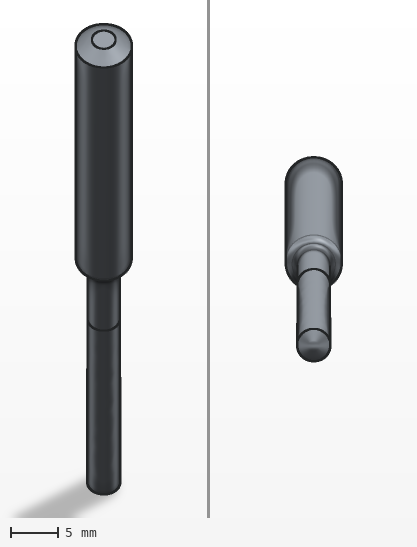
import cadquery as cq
import math

total_length = 74
shank_diameter = 6.0
shank_bottom = 37.95
top_flat_diameter = 2.5
top_slope = 30
neck_diameter = 3.5
neck_top = 36.4
shoulder_round = 0.9
joint_height = 27.8
drill_tip_diameter = 3.55
point_slope = 22

shank_radius = shank_diameter / 2
top_flat_radius = top_flat_diameter / 2
neck_radius = neck_diameter / 2
tip_radius = drill_tip_diameter / 2
top_cone_height = (shank_radius - top_flat_radius) * math.tan(math.radians(top_slope))
point_height = tip_radius * math.tan(math.radians(point_slope))
shoulder_width = shank_radius - neck_radius
shoulder_height = shank_bottom - neck_top
turn_angle = 2 * math.atan2(shoulder_width, shoulder_height)
radius_sum = shoulder_height / math.sin(turn_angle)
neck_round = radius_sum - shoulder_round


def arc_offset(radius, angle):
    """Radial and axial travel along an arc that starts parallel to the axis."""
    return radius * (1 - math.cos(angle)), radius * math.sin(angle)


def make_holder():
    """Coned cylindrical shank that blends through an S-curve into the neck."""
    convex_mid = arc_offset(shoulder_round, turn_angle / 2)
    convex_end = arc_offset(shoulder_round, turn_angle)
    concave_mid = arc_offset(neck_round, turn_angle / 2)
    return (
        cq.Workplane("XZ")
        .moveTo(0, joint_height)
        .lineTo(neck_radius, joint_height)
        .lineTo(neck_radius, neck_top)
        .threePointArc(
            (neck_radius + concave_mid[0], neck_top + concave_mid[1]),
            (shank_radius - convex_end[0], shank_bottom - convex_end[1]),
        )
        .threePointArc(
            (shank_radius - convex_mid[0], shank_bottom - convex_mid[1]),
            (shank_radius, shank_bottom),
        )
        .lineTo(shank_radius, total_length - top_cone_height)
        .lineTo(top_flat_radius, total_length)
        .lineTo(0, total_length)
        .close()
        .revolve(360, (0, 0, 0), (0, 1, 0))
    )


def make_drill():
    """Pointed rod that widens slightly from the joint to the shoulder of its conical point."""
    return (
        cq.Workplane("XZ")
        .lineTo(tip_radius, point_height)
        .lineTo(neck_radius, joint_height)
        .lineTo(0, joint_height)
        .close()
        .revolve(360, (0, 0, 0), (0, 1, 0))
    )


holder = make_holder()
drill = make_drill()
result = cq.Compound.makeCompound([holder.val(), drill.val()])